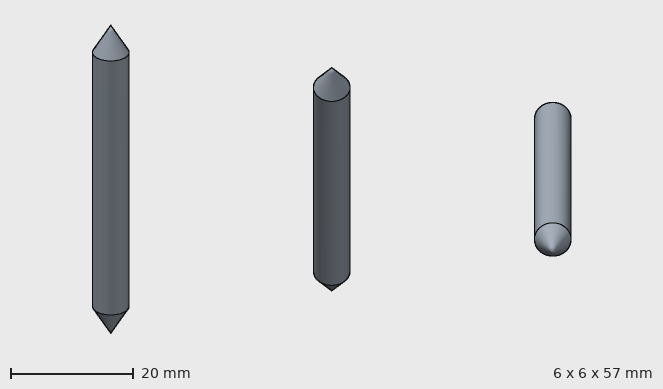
import cadquery as cq

length = 57.0
diameter = 6.0
point_height = 5.0

radius = diameter / 2
half_length = length / 2
shoulder_z = half_length - point_height

half_profile = (
    cq.Workplane("XZ")
    .moveTo(0, -half_length)
    .lineTo(radius, -shoulder_z)
    .lineTo(radius, shoulder_z)
    .lineTo(0, half_length)
    .close()
)

result = half_profile.revolve(360, (0, 0, 0), (0, 1, 0))